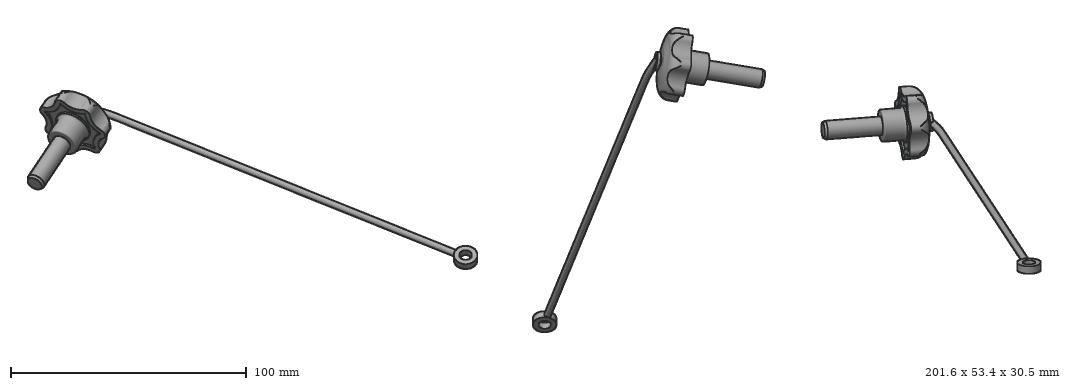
import cadquery as cq
import math


LOBES = 7
LOBE_RADIUS = 2.8
LOBE_CENTRE = 13.1
VALLEY_DISTANCE = 13.0
KNOB_HEIGHT = 10.0
KNOB_SHOULDER = 9.0
CROWN_RADIUS = 6.0
CORNER_RADIUS = 5.6
RIM_WIDTH = 2.5
RECESS_DEPTH = 1.0

HUB_DIAMETER = 14.0
HUB_FOOT_DIAMETER = 16.0
HUB_LENGTH = 9.7
HUB_ROUND = 0.6
PIN_DIAMETER = 8.0
PIN_END = 34.9
PIN_CHAMFER_LENGTH = 1.2
PIN_CHAMFER_DEPTH = 0.6

POST_DIAMETER = 3.5
DISC_DIAMETER = 8.0
DISC_THICKNESS = 1.5
DISC_HEIGHT = 11.7
ROD_DIAMETER = 3.0
ROD_HEIGHT = 13.5
ROD_TIP = -2.5
BEND_START = 4.6
BEND_END = 14.5
BEND_ANGLE = 9.0
EYE_DIAMETER = 10.0
EYE_HOLE_DIAMETER = 5.2
EYE_THICKNESS = 3.5
EYE_CENTRE = 181.0


def polar(radius, angle):
    return (radius * math.cos(angle), radius * math.sin(angle))


def along_y(start, length):
    """Workplane whose extrusion runs from Y = start + length down to Y = start."""
    return cq.Workplane("XZ", origin=(0, start + length, 0))


def star_outline(plane):
    """Convex lobe arcs joined by tangent concave valley arcs."""
    half_pitch = math.pi / LOBES
    lobe_reach = LOBE_CENTRE * math.cos(half_pitch)
    valley_radius = (
        LOBE_CENTRE**2 + VALLEY_DISTANCE**2 - 2 * lobe_reach * VALLEY_DISTANCE - LOBE_RADIUS**2
    ) / (2 * (LOBE_RADIUS + lobe_reach - VALLEY_DISTANCE))
    valley_centre = VALLEY_DISTANCE + valley_radius
    tangent_share = LOBE_RADIUS / (LOBE_RADIUS + valley_radius)

    def tangent_point(lobe_angle, side):
        lobe = polar(LOBE_CENTRE, lobe_angle)
        valley = polar(valley_centre, lobe_angle + side * half_pitch)
        return tuple(a + (b - a) * tangent_share for a, b in zip(lobe, valley))

    first_angle = -math.pi / 2
    outline = plane.moveTo(*tangent_point(first_angle, -1))
    for i in range(LOBES):
        angle = first_angle + 2 * half_pitch * i
        next_angle = angle + 2 * half_pitch
        lobe_tip = polar(LOBE_CENTRE + LOBE_RADIUS, angle)
        valley_floor = polar(VALLEY_DISTANCE, angle + half_pitch)
        outline = outline.threePointArc(lobe_tip, tangent_point(angle, 1))
        outline = outline.threePointArc(valley_floor, tangent_point(next_angle, -1))
    return outline.close()


def knob():
    star = star_outline(along_y(0, KNOB_HEIGHT)).extrude(KNOB_HEIGHT)
    tip_radius = LOBE_CENTRE + LOBE_RADIUS
    corner_mid = CORNER_RADIUS * math.sqrt(0.5)
    shoulder_radius = tip_radius - CORNER_RADIUS
    corner_base = KNOB_SHOULDER - CORNER_RADIUS
    crown = (
        cq.Workplane("XY")
        .lineTo(tip_radius, 0)
        .lineTo(tip_radius, corner_base)
        .threePointArc(
            (shoulder_radius + corner_mid, corner_base + corner_mid),
            (shoulder_radius, KNOB_SHOULDER),
        )
        .lineTo(CROWN_RADIUS, KNOB_HEIGHT)
        .lineTo(0, KNOB_HEIGHT)
        .close()
        .revolve(360, (0, 0, 0), (0, 1, 0))
    )
    recess = star_outline(along_y(0, RECESS_DEPTH)).offset2D(-RIM_WIDTH).extrude(RECESS_DEPTH)
    return star.intersect(crown).cut(recess)


def hub_and_pin():
    """Turned profile with a filleted foot, a rounded hub end and a chamfered pin tip."""
    hub_radius = HUB_DIAMETER / 2
    pin_radius = PIN_DIAMETER / 2
    foot_radius = HUB_FOOT_DIAMETER / 2
    foot_fillet = foot_radius - hub_radius
    fillet_mid = foot_fillet * (1 - math.sqrt(0.5))
    round_mid = HUB_ROUND * (1 - math.sqrt(0.5))
    return (
        cq.Workplane("XY")
        .moveTo(0, RECESS_DEPTH)
        .lineTo(foot_radius, RECESS_DEPTH)
        .lineTo(foot_radius, 0)
        .threePointArc((hub_radius + fillet_mid, -fillet_mid), (hub_radius, -foot_fillet))
        .lineTo(hub_radius, HUB_ROUND - HUB_LENGTH)
        .threePointArc(
            (hub_radius - round_mid, round_mid - HUB_LENGTH),
            (hub_radius - HUB_ROUND, -HUB_LENGTH),
        )
        .lineTo(pin_radius, -HUB_LENGTH)
        .lineTo(pin_radius, PIN_CHAMFER_LENGTH - PIN_END)
        .lineTo(pin_radius - PIN_CHAMFER_DEPTH, -PIN_END)
        .lineTo(0, -PIN_END)
        .close()
        .revolve(360, (0, 0, 0), (0, 1, 0))
    )


def tether():
    post_length = DISC_HEIGHT - KNOB_HEIGHT
    post = along_y(KNOB_HEIGHT, post_length).circle(POST_DIAMETER / 2).extrude(post_length)
    disc = (
        along_y(DISC_HEIGHT - DISC_THICKNESS / 2, DISC_THICKNESS)
        .circle(DISC_DIAMETER / 2)
        .extrude(DISC_THICKNESS)
    )
    slope = math.radians(BEND_ANGLE)
    bend_drop = (BEND_END - BEND_START) * math.tan(slope / 2)
    tip_drop = bend_drop + (BEND_START - ROD_TIP) * math.tan(slope)
    rod_start = EYE_CENTRE - (EYE_DIAMETER + EYE_HOLE_DIAMETER) / 4
    path = (
        cq.Workplane("XY")
        .moveTo(rod_start, ROD_HEIGHT)
        .lineTo(BEND_END, ROD_HEIGHT)
        .tangentArcPoint((BEND_START, ROD_HEIGHT - bend_drop), relative=False)
        .lineTo(ROD_TIP, ROD_HEIGHT - tip_drop)
    )
    rod = cq.Workplane("YZ", origin=(rod_start, ROD_HEIGHT, 0)).circle(ROD_DIAMETER / 2).sweep(path)
    eye = (
        cq.Workplane("XY", origin=(EYE_CENTRE, ROD_HEIGHT, 0))
        .circle(EYE_DIAMETER / 2)
        .circle(EYE_HOLE_DIAMETER / 2)
        .extrude(EYE_THICKNESS / 2, both=True)
    )
    return post.union(disc).union(rod).union(eye)


result = knob().union(hub_and_pin()).union(tether())